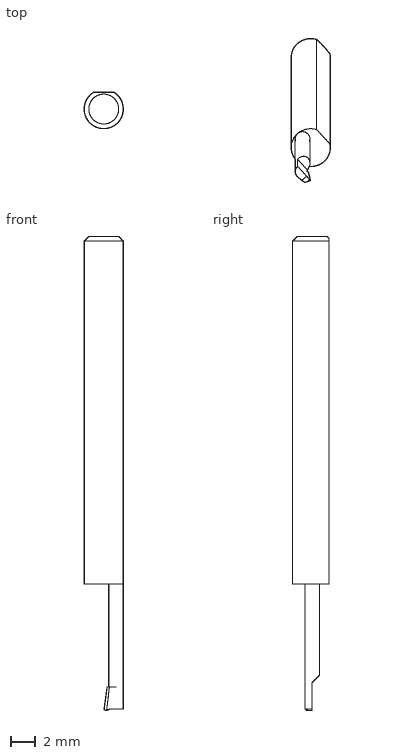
import cadquery as cq

total_length = 38.1
shank_diameter = 3.15
depth_over_flat = 2.95
end_chamfer = 0.4

neck_length = 10.17
neck_diameter = 1.2

head_height = 1.9
rake_cut_height = 2.25
edge_lean = 0.25
land_depth = 0.45
land_x_bottom = 0.23
land_x_top = 0.45
relief_depth = 0.55
relief_x_bottom = 0.5
relief_x_top = 0.65
tip_x = 0.15
tip_rise = 0.1

shank_radius = shank_diameter / 2
flat_offset = depth_over_flat - shank_radius
neck_radius = neck_diameter / 2
neck_x = shank_radius - neck_radius


def make_shank():
    """Round shank with a chamfered top end and one long flat."""
    shank = (
        cq.Workplane("XY", origin=(0, 0, neck_length))
        .circle(shank_radius)
        .extrude(total_length - neck_length)
        .faces(">Z")
        .chamfer(end_chamfer)
    )
    flat_cutter = cq.Workplane("XY").box(
        shank_diameter, shank_diameter, total_length, centered=(True, False, False)
    ).translate((0, flat_offset, 0))
    return shank.cut(flat_cutter)


def make_neck():
    """Round neck, halved at its lower end with a 45 degree run-out."""
    neck = cq.Workplane("XY").center(neck_x, 0).circle(neck_radius).extrude(neck_length)
    half_cutter = (
        cq.Workplane("YZ")
        .polyline([
            (0, 0),
            (neck_radius, 0),
            (neck_radius, rake_cut_height + neck_radius),
            (0, rake_cut_height),
        ])
        .close()
        .extrude(shank_diameter)
    )
    head_space = cq.Workplane("XY").box(
        neck_x, neck_diameter, head_height, centered=(False, True, False)
    )
    return neck.cut(half_cutter).cut(head_space)


def head_section(edge_x, land_x, relief_x):
    """Corners of a level slice: rake face on Y = 0, three clearance faces behind it."""
    return [
        (edge_x, 0),
        (land_x, -land_depth),
        (relief_x, -relief_depth),
        (neck_x, -neck_radius),
        (neck_x, 0),
    ]


def make_head():
    """Cutting head whose edge leans back towards the neck as it rises."""
    return (
        cq.Workplane("XY")
        .polyline(head_section(0, land_x_bottom, relief_x_bottom))
        .close()
        .workplane(offset=head_height)
        .polyline(head_section(edge_lean, land_x_top, relief_x_top))
        .close()
        .loft(ruled=True)
    )


def make_end_clearance():
    """Cutter that leaves the pointed tip proud of the end face."""
    return (
        cq.Workplane("XZ")
        .polyline([
            (0, -tip_rise),
            (0, tip_rise),
            (tip_x, 0),
            (relief_x_bottom, tip_rise),
            (shank_radius, tip_rise),
            (shank_radius, -tip_rise),
        ])
        .close()
        .extrude(neck_diameter)
    )


tool_end = make_neck().union(make_head()).cut(make_end_clearance())
result = make_shank().union(tool_end)